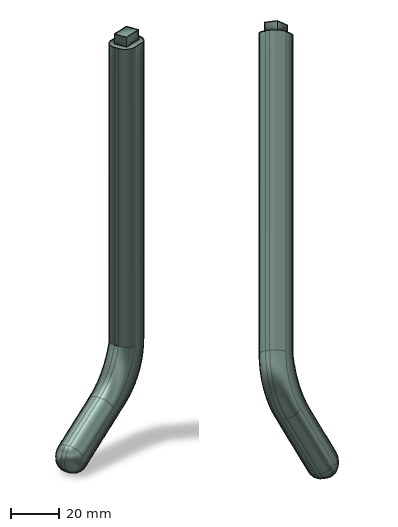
import cadquery as cq
import math

overall_height = 185.83
overall_reach = 55.5
thickness = 12.0

shank_depth = 15.0
bar_depth = 14.0
bend_angle = math.radians(60)
bend_radius = 30.0
edge_fillet = 5.0
front_overlap = 2.0

tang_width = 6.0
tang_depth = 9.0
tang_height = 4.5


arm_direction = (-math.sin(bend_angle), -math.cos(bend_angle))
front_normal = (-math.cos(bend_angle), math.sin(bend_angle))
tip_radius = bar_depth / 2


def shifted(point, direction, distance):
    """Point moved along a unit direction."""
    return (point[0] + direction[0] * distance, point[1] + direction[1] * distance)


def bend_points(start):
    """Start, middle and end of a bend arc that is tangent to the shank and to the arm."""
    center = shifted(start, (-1, 0), bend_radius)
    angles = (0, bend_angle / 2, bend_angle)
    return [shifted(center, (math.cos(a), -math.sin(a)), bend_radius) for a in angles]


front_bend_rise = bar_depth * math.tan(bend_angle / 2)
back_start, back_middle, back_end = bend_points((0, 0))
front_start, front_middle, front_end = bend_points((-bar_depth, front_bend_rise))

arm_axis_start = shifted(back_end, front_normal, tip_radius)
tip_center_y = tip_radius - overall_reach
arm_length = (tip_center_y - arm_axis_start[0]) / arm_direction[0]
tip_center = shifted(arm_axis_start, arm_direction, arm_length)
tip_back = shifted(tip_center, front_normal, -tip_radius)
tip_end = shifted(tip_center, arm_direction, tip_radius)
tip_front = shifted(tip_center, front_normal, tip_radius)

tip_bottom = tip_center[1] - tip_radius
shank_top = overall_height + tip_bottom - tang_height


def make_bent_bar():
    """Bent bar with a round tip; its upper leg is the core of the shank."""
    bar = (
        cq.Workplane("YZ")
        .moveTo(0, shank_top)
        .lineTo(*back_start)
        .threePointArc(back_middle, back_end)
        .lineTo(*tip_back)
        .threePointArc(tip_end, tip_front)
        .lineTo(*front_end)
        .threePointArc(front_middle, front_start)
        .lineTo(-bar_depth, shank_top)
        .close()
        .extrude(thickness / 2, both=True)
    )
    side_edges = bar.faces("<X or >X").edges("not(>Z)")
    return side_edges.fillet(edge_fillet)


def make_shank():
    """Straight shank, slightly deeper than the bar; its front half runs into the bend."""
    shank = (
        cq.Workplane("XY", origin=(0, -shank_depth / 2, -front_overlap))
        .rect(thickness, shank_depth)
        .extrude(shank_top + front_overlap)
        .edges("|Z")
        .fillet(edge_fillet)
    )
    back_relief = cq.Workplane("XY").box(
        thickness, shank_depth / 2, front_overlap, centered=(True, False, False)
    ).translate((0, -shank_depth / 2, -front_overlap))
    return shank.cut(back_relief)


def make_tang():
    """Rectangular tang centered on the shank top."""
    return (
        cq.Workplane("XY", origin=(0, -shank_depth / 2, shank_top))
        .rect(tang_width, tang_depth)
        .extrude(tang_height)
    )


result = make_shank().union(make_bent_bar()).union(make_tang()).clean()